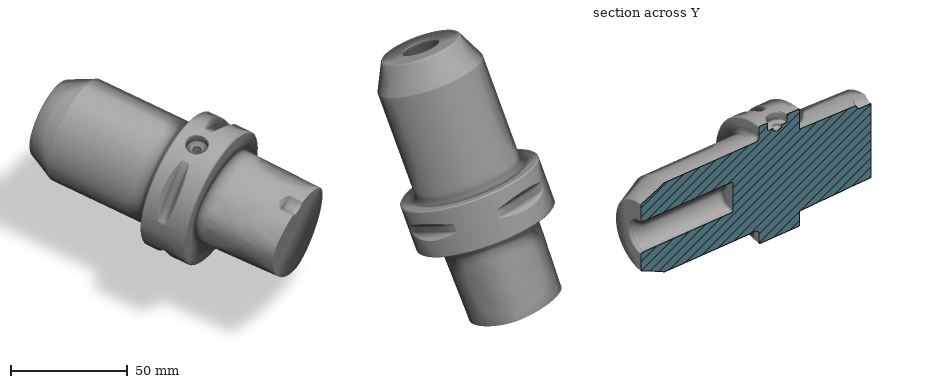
import cadquery as cq
import math

total_length = 123.0
shank_length = 38.0
flange_width = 21.9
flange_rear = total_length - shank_length
flange_front = flange_rear - flange_width

body_radius = 48.0 / 2
neck_radius = 47.8 / 2
nose_radius = 18.1
nose_chamfer = 0.5
nose_cone_end = 12.8
neck_fillet = 2.1
neck_step_start = 59.9
neck_step_end = 60.8

flange_radius = 63.0 / 2
flange_chamfer = 0.5
face_relief_depth = 0.1
face_relief_radius = 27.2

bore_radius = 16.0 / 2
mouth_radius = 16.5 / 2
mouth_chamfer = 0.5
mouth_depth = 1.5
bore_depth = 49.2
bore_end_chamfer = 0.5

shank_radius = 22.0
shank_taper = 1 / 40
lobe_height = 1.5

slot_station = flange_rear - 12.0
slot_count = 4
slot_start_angle = 45.0
slot_floor_radius = 27.9
slot_floor_width = 3.5
slot_mouth_width = 8.1
slot_corner_radius = 0.6
coding_hole_radius = 10.0 / 2
coding_hole_depth = 4.3
coding_hole_chamfer = 0.18
center_drill_radius = 4.0 / 2
center_drill_depth = 1.2
drill_half_angle = math.radians(59)

notch_radius = 10.0 / 2
notch_length = 6.4
notch_axis_height = 22.3
notch_half_angle = math.radians(50)


def make_body():
    """Revolve the clamping body and flange about X."""
    relief_x = flange_front + face_relief_depth
    fillet_start = relief_x - neck_fillet
    fillet_center_radius = neck_radius + neck_fillet
    fillet_middle = (
        fillet_start + neck_fillet * math.sin(math.pi / 4),
        fillet_center_radius - neck_fillet * math.cos(math.pi / 4),
    )
    return (
        cq.Workplane("XY")
        .moveTo(0, 0)
        .lineTo(0, nose_radius - nose_chamfer)
        .lineTo(nose_chamfer, nose_radius)
        .lineTo(nose_cone_end, body_radius)
        .lineTo(neck_step_start, body_radius)
        .lineTo(neck_step_end, neck_radius)
        .lineTo(fillet_start, neck_radius)
        .threePointArc(fillet_middle, (relief_x, fillet_center_radius))
        .lineTo(flange_front, face_relief_radius)
        .lineTo(flange_front, flange_radius - flange_chamfer)
        .lineTo(flange_front + flange_chamfer, flange_radius)
        .lineTo(flange_rear - flange_chamfer, flange_radius)
        .lineTo(flange_rear, flange_radius - flange_chamfer)
        .lineTo(flange_rear, 0)
        .close()
        .revolve(360, (0, 0, 0), (1, 0, 0))
    )


def lobed_point(mean_radius, turn):
    """Point of a constant-width three-lobed curve with one lobe toward -Z."""
    angle = 2 * math.pi * turn
    phase = 3 * (angle - math.pi / 2)
    reach = mean_radius - lobe_height * math.cos(phase)
    slide = 3 * lobe_height * math.sin(phase)
    return (
        reach * math.cos(angle) - slide * math.sin(angle),
        reach * math.sin(angle) + slide * math.cos(angle),
    )


def make_shank():
    """Loft the lobed taper from the flange to the rear end."""
    end_radius = shank_radius - shank_length * shank_taper
    return (
        cq.Workplane("YZ", origin=(flange_rear, 0, 0))
        .parametricCurve(lambda turn: lobed_point(shank_radius, turn))
        .workplane(offset=shank_length)
        .parametricCurve(lambda turn: lobed_point(end_radius, turn))
        .loft(ruled=True)
    )


def make_bore():
    """Blind tool bore with a slightly wider, chamfered mouth."""
    return (
        cq.Workplane("XY")
        .moveTo(0, 0)
        .lineTo(0, mouth_radius + mouth_chamfer)
        .lineTo(mouth_chamfer, mouth_radius)
        .lineTo(mouth_depth, mouth_radius)
        .lineTo(mouth_depth, bore_radius)
        .lineTo(bore_depth - bore_end_chamfer, bore_radius)
        .lineTo(bore_depth, bore_radius - bore_end_chamfer)
        .lineTo(bore_depth, 0)
        .close()
        .revolve(360, (0, 0, 0), (1, 0, 0))
    )


def make_slot(angle):
    """Straight trapezoidal slot across the flange rim, turned about X."""
    half_floor = slot_floor_width / 2
    wall_slope = (slot_mouth_width - slot_floor_width) / 2 / (flange_radius - slot_floor_radius)
    cutter_top = flange_radius + 1.2
    half_top = half_floor + wall_slope * (cutter_top - slot_floor_radius)
    return (
        cq.Workplane("XZ", origin=(slot_station, 0, 0))
        .moveTo(-half_floor, slot_floor_radius)
        .lineTo(half_floor, slot_floor_radius)
        .lineTo(half_top, cutter_top)
        .lineTo(-half_top, cutter_top)
        .close()
        .extrude(flange_radius, both=True)
        .edges("|Y and <Z")
        .fillet(slot_corner_radius)
        .rotate((0, 0, 0), (1, 0, 0), angle)
    )


def make_coding_hole():
    """Flat-bottomed hole from +Z with a conical-ended center drilling."""
    floor_z = flange_radius - coding_hole_depth
    drill_z = floor_z - center_drill_depth
    tip_z = drill_z - center_drill_radius / math.tan(drill_half_angle)
    rim_z = math.sqrt(flange_radius**2 - coding_hole_radius**2)
    rim_radius = coding_hole_radius + coding_hole_chamfer
    return (
        cq.Workplane("XZ", origin=(slot_station, 0, 0))
        .moveTo(0, tip_z)
        .lineTo(center_drill_radius, drill_z)
        .lineTo(center_drill_radius, floor_z)
        .lineTo(coding_hole_radius, floor_z)
        .lineTo(coding_hole_radius, rim_z - coding_hole_chamfer)
        .lineTo(rim_radius, rim_z)
        .lineTo(rim_radius, flange_radius)
        .lineTo(0, flange_radius)
        .close()
        .revolve(360, (0, 0, 0), (0, 1, 0))
    )


def make_notch():
    """Drill-shaped notch along X through the top of the shank end."""
    cone_start = total_length - notch_length
    cone_tip = cone_start - notch_radius / math.tan(notch_half_angle)
    return (
        cq.Workplane("XZ")
        .moveTo(cone_tip, notch_axis_height)
        .lineTo(cone_start, notch_axis_height + notch_radius)
        .lineTo(total_length, notch_axis_height + notch_radius)
        .lineTo(total_length, notch_axis_height)
        .close()
        .revolve(360, (0, notch_axis_height, 0), (1, notch_axis_height, 0))
    )


result = make_body().union(make_shank()).cut(make_bore())
for index in range(slot_count):
    result = result.cut(make_slot(slot_start_angle + index * 360 / slot_count))
result = result.cut(make_coding_hole()).cut(make_notch())